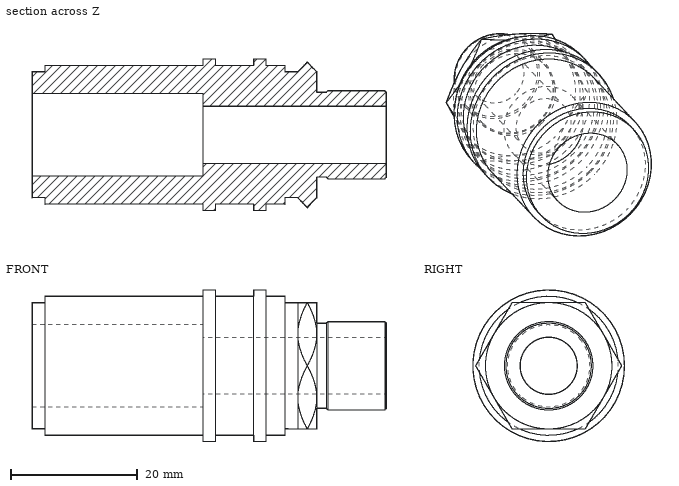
import cadquery as cq
import math


total_length = 56.0
rim_length = 2.0
rim_diameter = 20.0
body_diameter = 22.0
body_end = 40.0
back_rim_end = body_end + rim_length

collar_diameter = 24.0
collar_width = 2.0
collar_starts = (27.0, 35.0)

nut_across_flats = 20.0
nut_width = 3.0
nut_end = back_rim_end + nut_width

neck_length = 1.5
spigot_diameter = 14.0
spigot_chamfer = 0.25
neck_diameter = spigot_diameter - 2 * spigot_chamfer

mouth_diameter = 13.0
mouth_depth = collar_starts[0]
through_diameter = 9.0


def cylinder(diameter, start, end):
    """Solid cylinder on the X axis between two stations."""
    return cq.Workplane("YZ", origin=(start, 0, 0)).circle(diameter / 2).extrude(end - start)


def make_body():
    """Sleeve, its end rims and the two collars."""
    body = cylinder(rim_diameter, 0, back_rim_end)
    body = body.union(cylinder(body_diameter, rim_length, body_end))
    for start in collar_starts:
        body = body.union(cylinder(collar_diameter, start, start + collar_width))
    return body


def make_nut():
    """Hexagon whose corners are bevelled by a cone from each side, meeting at mid width."""
    flat_radius = nut_across_flats / 2
    corner_radius = flat_radius / math.cos(math.pi / 6)
    hexagon = (
        cq.Workplane("YZ", origin=(back_rim_end, 0, 0))
        .polygon(6, 2 * corner_radius)
        .extrude(nut_width)
    )
    double_cone = (
        cq.Workplane("XY")
        .moveTo(back_rim_end, 0)
        .lineTo(back_rim_end, flat_radius)
        .lineTo(back_rim_end + nut_width / 2, corner_radius)
        .lineTo(nut_end, flat_radius)
        .lineTo(nut_end, 0)
        .close()
        .revolve(360, (0, 0, 0), (1, 0, 0))
    )
    return hexagon.intersect(double_cone)


def make_spigot():
    """Relief neck followed by the chamfered spigot."""
    spigot_start = nut_end + neck_length
    spigot = cylinder(spigot_diameter, spigot_start, total_length).edges().chamfer(spigot_chamfer)
    return cylinder(neck_diameter, nut_end, spigot_start).union(spigot)


def make_bore():
    """Wide mouth and the through hole behind it."""
    mouth = cylinder(mouth_diameter, 0, mouth_depth)
    return mouth.union(cylinder(through_diameter, 0, total_length))


result = make_body().union(make_nut()).union(make_spigot()).cut(make_bore())